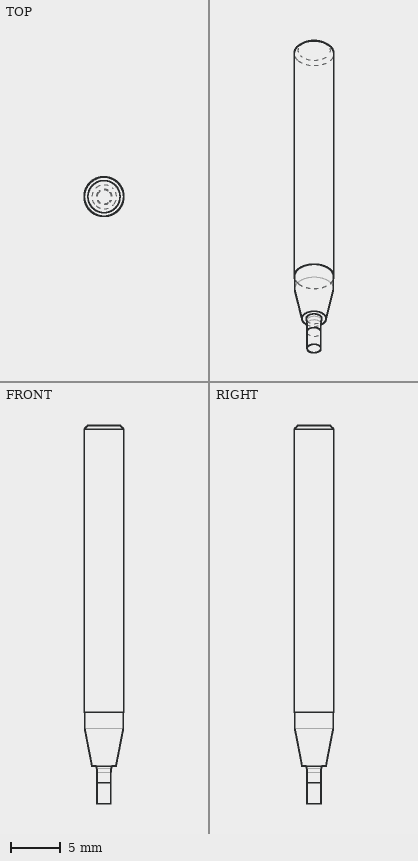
import cadquery as cq
import math

total_length = 38.0
shank_diameter = 4.0
end_chamfer = 0.38

tip_diameter = 1.4
tip_length = 2.13
neck_top = 3.15

cone_bottom_height = 3.8
cone_small_diameter = 2.45
cone_top_height = 7.6
collar_diameter = 3.9
collar_top_height = 9.2

flare_arc_height = 0.4
neck_radius = tip_diameter / 2
cone_growth = (collar_diameter - cone_small_diameter) / 2
cone_angle = math.atan2(cone_growth, cone_top_height - cone_bottom_height)
flare_arc_radius = flare_arc_height / math.sin(cone_angle)
flare_middle_height = neck_top + flare_arc_height
flare_middle_radius = neck_radius + flare_arc_radius * (1 - math.cos(cone_angle))
flare_straight_height = cone_bottom_height - flare_middle_height
flare_top_radius = flare_middle_radius + flare_straight_height * math.tan(cone_angle)


def make_cutting_tip():
    """Plain cylinder that touches the lower end of the holder."""
    return cq.Workplane("XY").circle(tip_diameter / 2).extrude(tip_length)


def make_holder():
    """Neck, flare, cone, collar and chamfered shank, turned as one solid."""
    shank_radius = shank_diameter / 2
    collar_radius = collar_diameter / 2
    profile = (
        cq.Workplane("XZ")
        .moveTo(0, tip_length)
        .lineTo(neck_radius, tip_length)
        .lineTo(neck_radius, neck_top)
        .tangentArcPoint((flare_middle_radius, flare_middle_height), relative=False)
        .lineTo(flare_top_radius, cone_bottom_height)
        .lineTo(cone_small_diameter / 2, cone_bottom_height)
        .lineTo(collar_radius, cone_top_height)
        .lineTo(collar_radius, collar_top_height)
        .lineTo(shank_radius, collar_top_height)
        .lineTo(shank_radius, total_length - end_chamfer)
        .lineTo(shank_radius - end_chamfer, total_length)
        .lineTo(0, total_length)
        .close()
    )
    axis_start = (0, 0)
    axis_end = (0, 1)
    return profile.revolve(360, axis_start, axis_end)


cutting_tip = make_cutting_tip()
holder = make_holder()

result = cq.Compound.makeCompound([cutting_tip.val(), holder.val()])